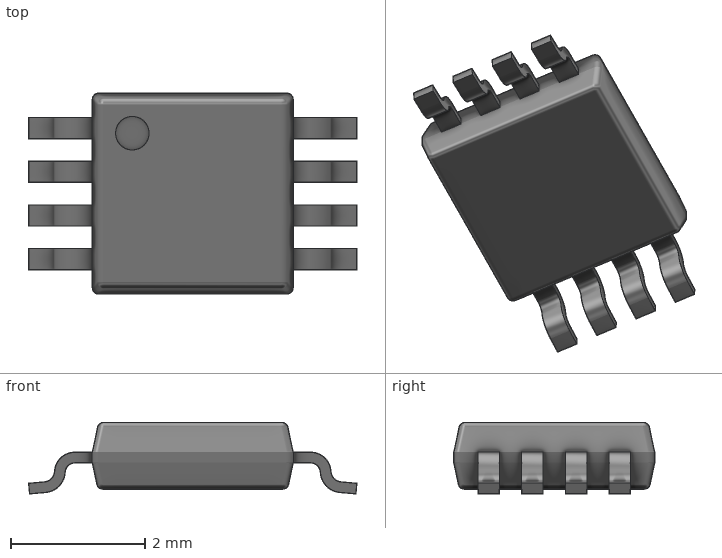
import cadquery as cq
import math


BODY_SIDE = 3.0
LOWER_HEIGHT = 0.39
UPPER_HEIGHT = 0.445
DRAFT_ANGLE = 12
EDGE_RADIUS = 0.1

LEAD_SPAN = 4.9
LEAD_THICKNESS = 0.16
LEAD_WIDTH = 0.32
LEAD_PITCH = 0.65
LEADS_PER_SIDE = 4
SHOULDER_LENGTH = 0.26
UPPER_BEND_RADIUS = 0.305
LOWER_BEND_RADIUS = 0.16
SHANK_LENGTH = 0.035
SHANK_ANGLE = 83
FOOT_ANGLE = 5

MARKER_DIAMETER = 0.5
MARKER_INSET = 0.6
MARKER_RECESS = 0.05
MARKER_THICKNESS = 0.05

BAND_BOTTOM = LOWER_HEIGHT
BAND_TOP = BAND_BOTTOM + LEAD_THICKNESS
BODY_TOP = BAND_TOP + UPPER_HEIGHT
MARKER_BOTTOM = BODY_TOP - MARKER_RECESS - MARKER_THICKNESS


def marker_cylinder(height):
    """Upright cylinder standing on the underside level of the pin-1 marker."""
    centre_x = MARKER_INSET - BODY_SIDE / 2
    centre_y = BODY_SIDE / 2 - MARKER_INSET
    return (
        cq.Workplane("XY", origin=(centre_x, centre_y, MARKER_BOTTOM))
        .circle(MARKER_DIAMETER / 2)
        .extrude(height)
    )


def make_body():
    """Straight band with tapered halves above and below, rounded edges and the marker hole."""
    def square(level):
        return cq.Workplane("XY", origin=(0, 0, level)).rect(BODY_SIDE, BODY_SIDE)

    band = square(BAND_BOTTOM).extrude(LEAD_THICKNESS)
    upper = square(BAND_TOP).extrude(UPPER_HEIGHT, taper=DRAFT_ANGLE)
    lower = square(BAND_BOTTOM).extrude(-LOWER_HEIGHT, taper=DRAFT_ANGLE)
    block = band.union(upper).union(lower)

    side_edges = block.edges("not #Z")
    rim_edges = block.faces("<Z or >Z").edges()
    rounded = block.newObject([*side_edges.vals(), *rim_edges.vals()]).fillet(EDGE_RADIUS)
    return rounded.cut(marker_cylinder(MARKER_RECESS + MARKER_THICKNESS))


def move(point, distance, angle):
    """Point moved outward along a line that falls at the given angle, in degrees."""
    slope = math.radians(angle)
    return (point[0] + distance * math.cos(slope), point[1] - distance * math.sin(slope))


def rise(point, distance, angle):
    """Point moved along the upward normal of a line that falls at the given angle, in degrees."""
    slope = math.radians(angle)
    return (point[0] + distance * math.sin(slope), point[1] + distance * math.cos(slope))


def make_lead(y):
    """Gull-wing lead on the +X side, centred at the given Y."""
    root_x = BODY_SIDE / 2
    bend_x = root_x + SHOULDER_LENGTH
    inner_upper_radius = UPPER_BEND_RADIUS - LEAD_THICKNESS
    outer_lower_radius = LOWER_BEND_RADIUS + LEAD_THICKNESS

    upper_centre = (bend_x, BAND_TOP - UPPER_BEND_RADIUS)
    shank_top = rise(upper_centre, UPPER_BEND_RADIUS, SHANK_ANGLE)
    shank_end = move(shank_top, SHANK_LENGTH, SHANK_ANGLE)
    lower_centre = rise(shank_end, LOWER_BEND_RADIUS, SHANK_ANGLE)
    foot_start = rise(lower_centre, -LOWER_BEND_RADIUS, FOOT_ANGLE)
    foot_length = (LEAD_SPAN / 2 - foot_start[0]) / math.cos(math.radians(FOOT_ANGLE))
    toe_top = move(foot_start, foot_length, FOOT_ANGLE)

    upper_mid = SHANK_ANGLE / 2
    lower_mid = (SHANK_ANGLE + FOOT_ANGLE) / 2
    return (
        cq.Workplane("XZ", origin=(0, y + LEAD_WIDTH / 2, 0))
        .moveTo(root_x, BAND_TOP)
        .lineTo(bend_x, BAND_TOP)
        .threePointArc(rise(upper_centre, UPPER_BEND_RADIUS, upper_mid), shank_top)
        .lineTo(*shank_end)
        .threePointArc(rise(lower_centre, -LOWER_BEND_RADIUS, lower_mid), foot_start)
        .lineTo(*toe_top)
        .lineTo(*rise(toe_top, -LEAD_THICKNESS, FOOT_ANGLE))
        .lineTo(*rise(foot_start, -LEAD_THICKNESS, FOOT_ANGLE))
        .threePointArc(
            rise(lower_centre, -outer_lower_radius, lower_mid),
            rise(shank_end, -LEAD_THICKNESS, SHANK_ANGLE),
        )
        .lineTo(*rise(shank_top, -LEAD_THICKNESS, SHANK_ANGLE))
        .threePointArc(rise(upper_centre, inner_upper_radius, upper_mid), (bend_x, BAND_BOTTOM))
        .lineTo(root_x, BAND_BOTTOM)
        .close()
        .extrude(LEAD_WIDTH)
    )


body = make_body()
marker = marker_cylinder(MARKER_THICKNESS)

leads = []
for index in range(LEADS_PER_SIDE):
    row_offset = (index - (LEADS_PER_SIDE - 1) / 2) * LEAD_PITCH
    lead = make_lead(row_offset)
    leads.append(lead.val())
    leads.append(lead.mirror("YZ").val())

result = cq.Compound.makeCompound([body.val(), marker.val(), *leads])